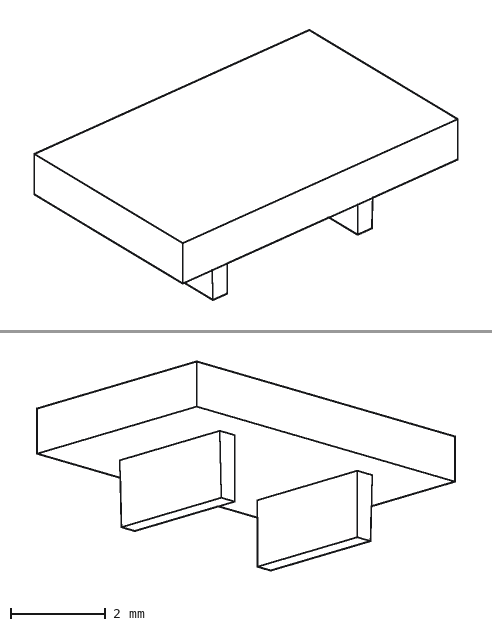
import cadquery as cq

plate_width = 4.8
plate_length = 7.7
plate_thickness = 1.0

total_height = 2.47
leg_height = total_height - plate_thickness
leg_width = 3.0
leg_inner_offset = 1.825
leg_root_thickness = 0.45
leg_tip_thickness = 0.4


def make_leg(side):
    """Leg on the given Y side (+1 or -1), hanging down from the plate underside at Z = 0."""
    inner_y = side * leg_inner_offset
    root_y = side * (leg_inner_offset + leg_root_thickness)
    tip_y = side * (leg_inner_offset + leg_tip_thickness)
    return (
        cq.Workplane("YZ")
        .moveTo(inner_y, 0)
        .lineTo(root_y, 0)
        .lineTo(tip_y, -leg_height)
        .lineTo(inner_y, -leg_height)
        .close()
        .extrude(leg_width / 2, both=True)
    )


result = cq.Workplane("XY").box(
    plate_width, plate_length, plate_thickness, centered=(True, True, False)
)
for side in (-1, 1):
    result = result.union(make_leg(side))